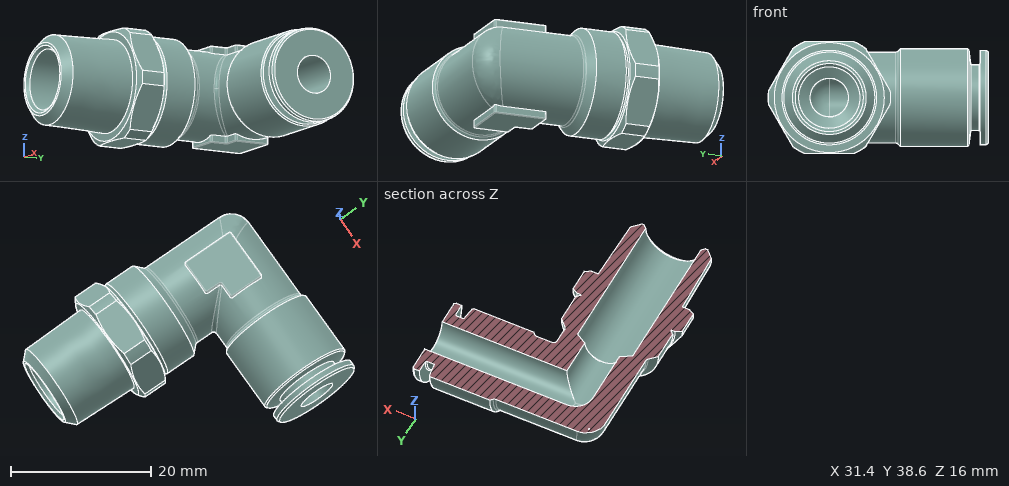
import cadquery as cq
import math


TOTAL_LENGTH_X = 31.45
TOTAL_LENGTH_Y = 38.6

LEG_DIA = 13.0
LEG_END = 9.45
OUTER_CORNER_RADIUS = 3.0
INNER_CORNER_RADIUS = 0.5
BLEND_RADIUS = 0.5
SHOULDER_ANGLE = math.radians(45)

PAD_BACK = 2.7
PAD_FRONT = 5.3
PAD_NOTCH = 2.7
PAD_SPAN = 14.0
PAD_CORNER_RADIUS = 0.27
PAD_EDGE_RADIUS = 0.1

COLLAR_DIA = 15.5
COLLAR_END = 16.05
COLLAR_CHAMFER = 0.55
HEX_FLATS = 16.0
HEX_CORNER_DIA = 17.5
HEX_FACE_DIA = 15.7
HEX_CHAMFER_HEIGHT = 0.5
HEX_HEIGHT = 4.6
HEX_END = COLLAR_END + HEX_HEIGHT

SOCKET_DIA = 14.0
SOCKET_END = 19.95
SOCKET_END_CHAMFER = 0.25
SOCKET_CONE_HEIGHT = 0.27
NECK_DIA = 9.4
NECK_ROOT_CHAMFER = 0.2
FLANGE_DIA = 13.5
FLANGE_BACK = 21.55
FLANGE_RIM_END = 22.4
FLANGE_FACE_DIA = 13.0
FLANGE_END = TOTAL_LENGTH_X - HEX_CORNER_DIA / 2

THREAD_BASE_DIA = 13.5
THREAD_TIP_DIA = 13.0
THREAD_CHAMFER = 1.25
THREAD_END = TOTAL_LENGTH_Y - SOCKET_DIA / 2

PASSAGE_DIA = 5.5
BORE_DIA = 8.75
BORE_MOUTH_DIA = 9.73
BORE_BOTTOM = LEG_END
BORE_TIP_ANGLE = math.radians(118)


def revolve_along_x(profile):
    """Join the open profile of (distance, radius) points to the X axis and revolve it."""
    return profile.close().revolve(360, (0, 0, 0), (1, 0, 0))


def turn_to_thread_leg(solid):
    """Turn a solid built along +X so that it lies along -Y."""
    return solid.rotate((0, 0, 0), (0, 0, 1), -90)


def start_shoulder(outer_dia):
    """Start a profile with the blend and the 45 degree shoulder rising to outer_dia."""

    def blend_point(angle):
        x = LEG_END + BLEND_RADIUS * math.sin(angle)
        return x, LEG_DIA / 2 + BLEND_RADIUS * (1 - math.cos(angle))

    blend_end = blend_point(SHOULDER_ANGLE)
    shoulder_end = blend_end[0] + (outer_dia / 2 - blend_end[1]) / math.tan(SHOULDER_ANGLE)
    return (
        cq.Workplane("XY")
        .moveTo(LEG_END, 0)
        .lineTo(LEG_END, LEG_DIA / 2)
        .threePointArc(blend_point(SHOULDER_ANGLE / 2), blend_end)
        .lineTo(shoulder_end, outer_dia / 2)
    )


def make_wedge(points):
    """Tall prism used to keep one side of the elbow."""
    return cq.Workplane("XY").polyline(points).close().extrude(LEG_DIA, both=True)


def round_mitre(elbow_half, radius):
    """Round the edges that lie on the mitre plane x + y = 0."""
    tolerance = 0.005
    mitre_edges = [
        edge
        for edge in elbow_half.edges("%ELLIPSE").vals()
        if all(abs(edge.positionAt(t).x + edge.positionAt(t).y) < tolerance for t in (0, 0.5, 1))
    ]
    return elbow_half.newObject(mitre_edges).fillet(radius)


def make_elbow():
    """Two mitred cylinders with the outer and inner corners rounded."""
    far = 2 * LEG_DIA
    overrun = LEG_DIA
    long_leg = cq.Workplane("YZ").workplane(offset=-overrun).circle(LEG_DIA / 2).extrude(overrun + LEG_END)
    socket_leg = long_leg.intersect(make_wedge([(-far, far), (far, far), (far, -far)]))
    thread_leg = turn_to_thread_leg(long_leg).intersect(make_wedge([(-far, far), (-far, -far), (far, -far)]))
    elbow = socket_leg.union(thread_leg)

    outer_half = elbow.intersect(make_wedge([(-far, -far), (far, far), (-far, far)]))
    inner_half = elbow.intersect(make_wedge([(-far, -far), (far, far), (far, -far)]))
    return round_mitre(outer_half, OUTER_CORNER_RADIUS).union(round_mitre(inner_half, INNER_CORNER_RADIUS))


def make_pads():
    """L-shaped block through the elbow, showing as one raised pad on each side."""
    outline = [
        (-PAD_BACK, PAD_BACK),
        (PAD_FRONT, PAD_BACK),
        (PAD_FRONT, -PAD_NOTCH),
        (PAD_NOTCH, -PAD_NOTCH),
        (PAD_NOTCH, -PAD_FRONT),
        (-PAD_BACK, -PAD_FRONT),
    ]
    block = cq.Workplane("XY").polyline(outline).close().extrude(PAD_SPAN / 2, both=True)
    block = block.edges("|Z").fillet(PAD_CORNER_RADIUS)
    return block.faces("<Z or >Z").edges().fillet(PAD_EDGE_RADIUS)


def make_socket():
    """Socket, neck and release flange along +X."""
    socket_radius = SOCKET_DIA / 2
    neck_start = SOCKET_END + SOCKET_CONE_HEIGHT
    profile = (
        start_shoulder(SOCKET_DIA)
        .lineTo(SOCKET_END - SOCKET_END_CHAMFER, socket_radius)
        .lineTo(SOCKET_END, socket_radius - SOCKET_END_CHAMFER)
        .lineTo(neck_start, NECK_DIA / 2)
        .lineTo(FLANGE_BACK - NECK_ROOT_CHAMFER, NECK_DIA / 2)
        .lineTo(FLANGE_BACK, NECK_DIA / 2 + NECK_ROOT_CHAMFER)
        .lineTo(FLANGE_BACK, FLANGE_DIA / 2)
        .lineTo(FLANGE_RIM_END, FLANGE_DIA / 2)
        .lineTo(FLANGE_END, FLANGE_FACE_DIA / 2)
        .lineTo(FLANGE_END, 0)
    )
    return revolve_along_x(profile)


def make_collar():
    collar_radius = COLLAR_DIA / 2
    profile = (
        start_shoulder(COLLAR_DIA)
        .lineTo(COLLAR_END - COLLAR_CHAMFER, collar_radius)
        .lineTo(COLLAR_END, collar_radius - COLLAR_CHAMFER)
        .lineTo(COLLAR_END, 0)
    )
    return turn_to_thread_leg(revolve_along_x(profile))


def make_hexagon():
    """Hexagon with flats facing +-Z, its corners turned round and chamfered."""
    across_corners = HEX_FLATS / math.cos(math.radians(30))
    prism = (
        cq.Workplane("XZ")
        .workplane(offset=COLLAR_END)
        .polygon(6, across_corners)
        .extrude(HEX_HEIGHT)
    )
    envelope_profile = (
        cq.Workplane("XY")
        .moveTo(COLLAR_END, 0)
        .lineTo(COLLAR_END, HEX_FACE_DIA / 2)
        .lineTo(COLLAR_END + HEX_CHAMFER_HEIGHT, HEX_CORNER_DIA / 2)
        .lineTo(HEX_END - HEX_CHAMFER_HEIGHT, HEX_CORNER_DIA / 2)
        .lineTo(HEX_END, HEX_FACE_DIA / 2)
        .lineTo(HEX_END, 0)
    )
    return prism.intersect(turn_to_thread_leg(revolve_along_x(envelope_profile)))


def make_thread():
    """Plain tapered stub standing for the male thread."""
    tip_radius = THREAD_TIP_DIA / 2
    profile = (
        cq.Workplane("XY")
        .moveTo(HEX_END, 0)
        .lineTo(HEX_END, THREAD_BASE_DIA / 2)
        .lineTo(THREAD_END - THREAD_CHAMFER, tip_radius)
        .lineTo(THREAD_END, tip_radius - THREAD_CHAMFER)
        .lineTo(THREAD_END, 0)
    )
    return turn_to_thread_leg(revolve_along_x(profile))


def make_passage():
    """Wide thread bore, drill cone, narrow passage, ball corner and socket passage."""
    passage_radius = PASSAGE_DIA / 2
    bore_radius = BORE_DIA / 2
    mouth_radius = BORE_MOUTH_DIA / 2
    cone_height = (bore_radius - passage_radius) / math.tan(BORE_TIP_ANGLE / 2)
    thread_profile = (
        cq.Workplane("XY")
        .lineTo(0, passage_radius)
        .lineTo(BORE_BOTTOM - cone_height, passage_radius)
        .lineTo(BORE_BOTTOM, bore_radius)
        .lineTo(THREAD_END - (mouth_radius - bore_radius), bore_radius)
        .lineTo(THREAD_END, mouth_radius)
        .lineTo(THREAD_END, 0)
    )
    thread_bore = turn_to_thread_leg(revolve_along_x(thread_profile))
    socket_bore = cq.Workplane("YZ").circle(passage_radius).extrude(FLANGE_END)
    return thread_bore.union(socket_bore).union(cq.Workplane("XY").sphere(passage_radius))


body = make_elbow()
for feature in (make_pads(), make_socket(), make_collar(), make_hexagon(), make_thread()):
    body = body.union(feature)

result = body.cut(make_passage())